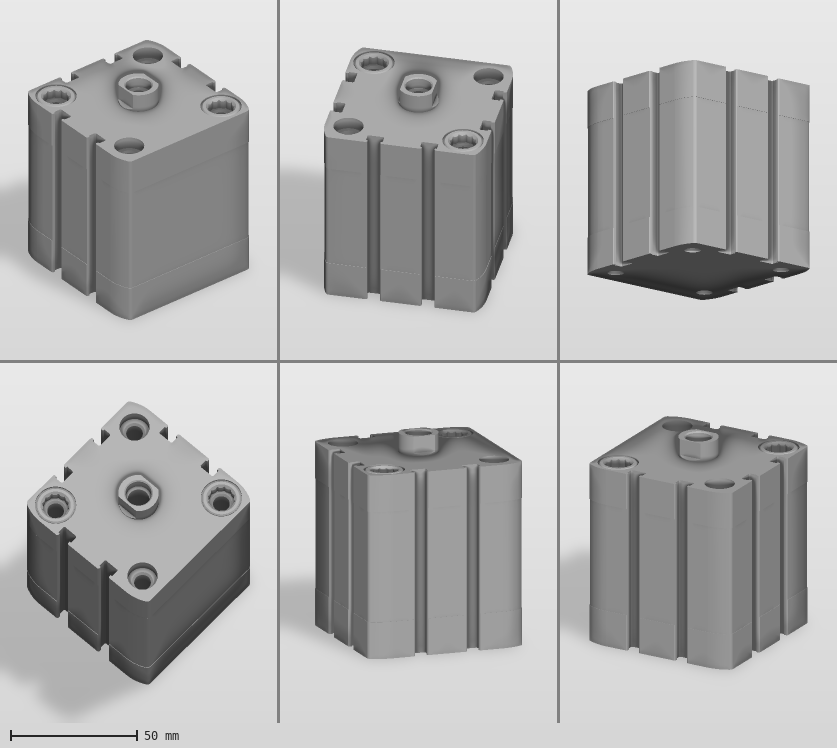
import cadquery as cq
import math


total_height = 82.7
housing_width = 65.5
rod_projection = 7.8
housing_height = total_height - rod_projection
cap_height = 15.0
tube_inset = 0.2

screw_spacing = 46.5
screw_offset = screw_spacing / 2
corner_radius = 18.0
blend_radius = 1.6

groove_offset = 11.0
groove_mouth_width = 5.3
groove_inner_width = 6.8
groove_depth = 4.9
groove_lip = 1.4
groove_bevel = 0.4

through_diameter = 6.6
countersink_diameter = 8.35
counterbore_diameter = 12.0
counterbore_depth = 5.0

head_seat_diameter = 16.4
head_diameter = 15.5
head_face_diameter = 14.4
head_gap_depth = 0.8
socket_points = 12
socket_point_radius = 5.45
socket_tooth_radius = 5.05
socket_tooth_half_angle = 6.0
socket_depth = 4.4
socket_cone_slope = 1.2

rod_diameter = 16.0
rod_bottom = cap_height
flat_width = 13.0
flat_height = 6.6
flat_run_out_angle = 30.0
rod_mouth_diameter = 11.5
rod_bore_diameter = 10.5
rod_bore_depth = 4.8
rod_drill_diameter = 8.6
rod_drill_depth = 20.0
drill_point_angle = 118.0


def arc_point(centre, radius, degrees):
    """Point on a circle, measured counter-clockwise from +X."""
    angle = math.radians(degrees)
    return (centre[0] + radius * math.cos(angle), centre[1] + radius * math.sin(angle))


def turned(outline):
    """Solid of revolution about Z from the (radius, height) points of a closed outline."""
    return cq.Workplane("XZ").polyline(outline).close().revolve(360, (0, 0), (0, 1))



def housing_block(half_width, bottom, height):
    """Square block with four rounded corners, mirrored from its +X +Y quarter."""
    large_centre = (screw_offset, half_width - corner_radius)
    joint_cosine = (half_width - screw_offset - blend_radius) / (corner_radius - blend_radius)
    joint_angle = math.degrees(math.acos(joint_cosine))
    joint = arc_point(large_centre, corner_radius, joint_angle)
    blend_centre = arc_point(large_centre, corner_radius - blend_radius, joint_angle)
    large_middle = arc_point(large_centre, corner_radius, (90 + joint_angle) / 2)
    blend_middle = arc_point(blend_centre, blend_radius, joint_angle / 2)
    quarter = (
        cq.Workplane("XY", origin=(0, 0, bottom))
        .lineTo(0, half_width)
        .lineTo(screw_offset, half_width)
        .threePointArc(large_middle, joint)
        .threePointArc(blend_middle, (half_width, blend_centre[1]))
        .lineTo(half_width, 0)
        .close()
        .extrude(height)
    )
    half = quarter.union(quarter.mirror("YZ"))
    return half.union(half.mirror("XZ")).clean()


def sensor_groove():
    """Cutter for one T-shaped groove that opens toward +Y, centred on X = 0."""
    face = housing_width / 2
    mouth = groove_mouth_width / 2
    inner = groove_inner_width / 2
    edge = mouth + groove_bevel
    right_side = [
        (edge, face),
        (mouth, face - groove_bevel),
        (mouth, face - groove_lip),
        (inner, face - groove_lip),
        (inner, face - groove_depth + groove_bevel),
        (inner - groove_bevel, face - groove_depth),
    ]
    left_side = [(-x, y) for x, y in reversed(right_side)]
    return cq.Workplane("XY").polyline(right_side + left_side).close().extrude(housing_height)


def all_sensor_grooves():
    """Two grooves in each of the +Y, -X and -Y faces."""
    grooves = cq.Workplane("XY")
    for face_angle in (0, 90, 180):
        for side in (-1, 1):
            groove = sensor_groove().translate((side * groove_offset, 0, 0))
            grooves = grooves.union(groove.rotate((0, 0, 0), (0, 0, 1), face_angle))
    return grooves


def countersunk_through_hole(seat_depth):
    """Through hole whose 45 degree countersink starts at a seat below the housing top."""
    seat = housing_height - seat_depth
    through = through_diameter / 2
    countersink = countersink_diameter / 2
    return turned([
        (0, 0),
        (through, 0),
        (through, seat - (countersink - through)),
        (countersink, seat),
        (0, seat),
    ])


def plain_corner_hole():
    """Counterbored corner hole."""
    seat = housing_height - counterbore_depth
    counterbore = cq.Workplane("XY", origin=(0, 0, seat)).circle(counterbore_diameter / 2)
    return countersunk_through_hole(counterbore_depth).union(counterbore.extrude(counterbore_depth))


def twelve_point_socket():
    """Socket with sharp outward points and flat-tipped teeth between them, and a conical mouth."""
    pitch = 360 / socket_points
    outline = []
    for index in range(socket_points):
        point_angle = index * pitch
        tooth_angle = point_angle + pitch / 2
        outline.append(arc_point((0, 0), socket_point_radius, point_angle))
        outline.append(arc_point((0, 0), socket_tooth_radius, tooth_angle - socket_tooth_half_angle))
        outline.append(arc_point((0, 0), socket_tooth_radius, tooth_angle + socket_tooth_half_angle))
    socket = (
        cq.Workplane("XY", origin=(0, 0, housing_height - socket_depth))
        .polyline(outline)
        .close()
        .extrude(socket_depth)
    )
    mouth = counterbore_diameter / 2
    cone_end = countersink_diameter / 2
    cone_bottom = housing_height - (mouth - cone_end) * socket_cone_slope
    cone = turned([
        (0, cone_bottom),
        (cone_end, cone_bottom),
        (mouth, housing_height),
        (0, housing_height),
    ])
    return socket.union(cone)


def head_gap():
    """Ring-shaped gap between a bevelled screw head and its seat."""
    seat = head_seat_diameter / 2
    head = head_diameter / 2
    face = head_face_diameter / 2
    gap_bottom = housing_height - head_gap_depth
    return turned([
        (face, housing_height),
        (head, housing_height - (head - face)),
        (head, gap_bottom),
        (seat, gap_bottom),
        (seat, housing_height),
    ])


def screw_corner_hole():
    """Hollow screw head: surrounding gap, socket and countersunk through hole."""
    return countersunk_through_hole(socket_depth).union(twelve_point_socket()).union(head_gap())


def make_housing():
    """Two end caps and the slightly smaller tube between them, with grooves, holes and rod bore."""
    half_width = housing_width / 2
    tube_height = housing_height - 2 * cap_height
    body = housing_block(half_width, 0, cap_height)
    body = body.union(housing_block(half_width - tube_inset, cap_height, tube_height))
    body = body.union(housing_block(half_width, cap_height + tube_height, cap_height))
    body = body.cut(all_sensor_grooves())
    for side in (-1, 1):
        place = side * screw_offset
        body = body.cut(screw_corner_hole().translate((place, place, 0)))
        body = body.cut(plain_corner_hole().translate((place, -place, 0)))
    rod_bore = (
        cq.Workplane("XY", origin=(0, 0, rod_bottom))
        .circle(rod_diameter / 2)
        .extrude(housing_height - rod_bottom)
    )
    return body.cut(rod_bore)



def rod_flat():
    """Cutter for the flat on the +Y side, with a sloped face running out below it."""
    flat = flat_width / 2
    outside = rod_diameter
    flat_bottom = total_height - flat_height
    run_out_drop = (outside - flat) * math.tan(math.radians(flat_run_out_angle))
    return (
        cq.Workplane("YZ")
        .polyline([
            (flat, total_height),
            (flat, flat_bottom),
            (outside, flat_bottom - run_out_drop),
            (outside, total_height),
        ])
        .close()
        .extrude(rod_diameter / 2, both=True)
    )


def rod_end_hole():
    """Stepped blind hole: bevelled mouth, bore, 45 degree step and drilled hole with its point."""
    mouth = rod_mouth_diameter / 2
    bore = rod_bore_diameter / 2
    drill = rod_drill_diameter / 2
    bore_bottom = total_height - rod_bore_depth
    drill_bottom = total_height - rod_drill_depth
    point_height = drill / math.tan(math.radians(drill_point_angle / 2))
    return turned([
        (0, drill_bottom - point_height),
        (drill, drill_bottom),
        (drill, bore_bottom - (bore - drill)),
        (bore, bore_bottom),
        (bore, total_height - (mouth - bore)),
        (mouth, total_height),
        (0, total_height),
    ])


def make_rod():
    """Round rod with two wrench flats and a hole in its end."""
    rod = (
        cq.Workplane("XY", origin=(0, 0, rod_bottom))
        .circle(rod_diameter / 2)
        .extrude(total_height - rod_bottom)
    )
    flat = rod_flat()
    return rod.cut(flat).cut(flat.mirror("XZ")).cut(rod_end_hole())


housing = make_housing()
rod = make_rod()
result = cq.Compound.makeCompound([housing.val(), rod.val()])